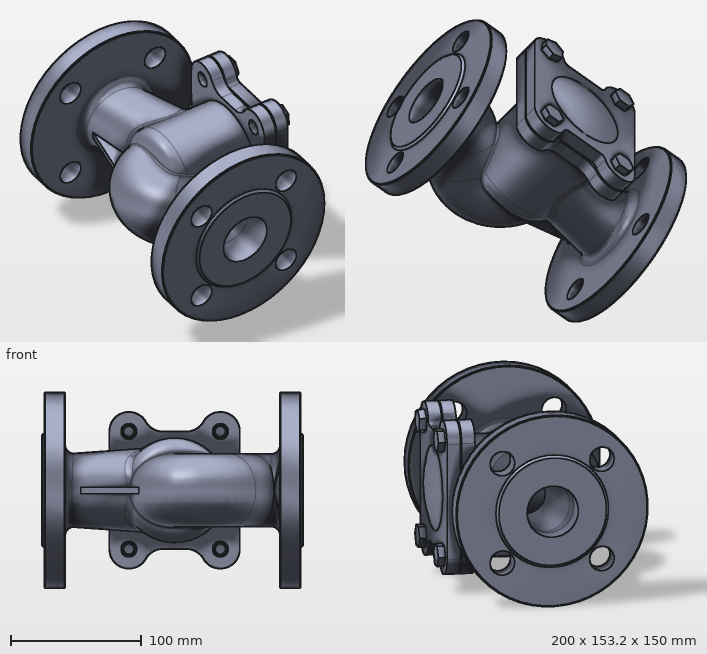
import cadquery as cq
import math

face_x = 100.0
raised_thickness = 2.0
raised_base_dia = 88.0
raised_face_dia = 84.0
flange_thickness = 16.0
flange_dia = 150.0
flange_edge = 0.8
flange_hole_dia = 19.0
flange_hole_circle = 110.0
flange_outer_x = face_x - raised_thickness
flange_inner_x = flange_outer_x - flange_thickness
neck_fillet = 6.0

bore_dia = 40.0
pipe_dia = 56.0

inclined_angle = 13.0
inclined_length = 82.0
inclined_start_dia = 54.8
inclined_end_dia = 66.8
inclined_bore_end_dia = 26.0
inclined_fillet = 7.5

u_bend_x = 22.0
u_bend_y = -4.5
u_bend_radius = 28.8
slant_angle = 47.0
return_bend_radius = 21.0
bent_fillet = 1.5
neck_stub = 7.0
neck_trim_clearance = 0.5

chamber_x = 1.5
chamber_dia = 80.0
chamber_bottom_y = -22.0
chamber_bottom_fillet = 13.0

joint_bottom_y = 50.0
joint_plate_thickness = 10.5
joint_gap = 1.0
facing_dia = 90.0
joint_top_y = joint_bottom_y + joint_plate_thickness
cover_bottom_y = joint_top_y + joint_gap
cover_top_y = cover_bottom_y + joint_plate_thickness
lobe_radius = 15.0
lobe_x = 35.0
lobe_z = 45.0
chamber_notch_radius = 15.0
cover_notch_radius = 5.0
dome_top_y = 78.2
dome_base_dia = 66.0

bolt_dia = 10.0
bolt_clearance_dia = 12.0
bolt_tip_chamfer = 1.0
bolt_tip_y = joint_bottom_y + 6.5
bolt_head_flats = 16.0
bolt_head_height = 5.5
turned_bolt_angle = 23.0

web_thickness = 5.0
web_start = (-71.0, -26.0)
web_end = (-26.0, -35.5)
web_inner = (-26.0, -10.0)


def disc_x(dia, x_from, length):
    """Cylinder on the X axis, from x_from towards +X."""
    return cq.Workplane("YZ").workplane(offset=x_from).circle(dia / 2).extrude(length)


def cylinder_y(dia, y_from, y_to, x=0.0, z=0.0):
    """Cylinder parallel to Y, from y_from up to y_to."""
    plane = cq.Plane(origin=(x, y_from, z), xDir=(1, 0, 0), normal=(0, 1, 0))
    return cq.Workplane(plane).circle(dia / 2).extrude(y_to - y_from)


def pipe_flange():
    """Flange of the -X end with a raised conical face, drilled with four bolt holes."""
    rim = flange_dia / 2
    profile = [
        (-flange_inner_x, 0),
        (-flange_inner_x, rim - flange_edge),
        (-flange_inner_x - flange_edge, rim),
        (-flange_outer_x + flange_edge, rim),
        (-flange_outer_x, rim - flange_edge),
        (-flange_outer_x, raised_base_dia / 2),
        (-face_x, raised_face_dia / 2),
        (-face_x, 0),
    ]
    flange = cq.Workplane("XY").polyline(profile).close().revolve(360, (0, 0, 0), (1, 0, 0))
    holes = (
        cq.Workplane("YZ")
        .workplane(offset=-face_x)
        .polarArray(flange_hole_circle / 2, 45, 360, 4)
        .circle(flange_hole_dia / 2)
        .extrude(raised_thickness + flange_thickness)
    )
    return flange.cut(holes)


def round_neck(branch, x):
    """Fillet the root of a pipe where it meets the inner flange face at x."""
    reach = raised_base_dia / 2
    box = cq.selectors.BoxSelector((x - 0.2, -reach, -reach), (x + 0.2, reach, reach), boundingbox=True)
    return branch.edges(box).fillet(neck_fillet)


def inclined_plane():
    """Plane at the -X flange, facing along the inclined pipe."""
    tilt = math.radians(inclined_angle)
    return cq.Plane(
        origin=(-flange_inner_x, 0, 0),
        xDir=(0, 0, 1),
        normal=(math.cos(tilt), math.sin(tilt), 0),
    )


def inclined_cone(start_dia, end_dia, lead):
    """Cone along the inclined pipe, starting the length lead before the flange face."""
    return (
        cq.Workplane(inclined_plane())
        .workplane(offset=-lead)
        .circle(start_dia / 2)
        .workplane(offset=inclined_length + lead)
        .circle(end_dia / 2)
        .loft()
    )


def inclined_pipe():
    lead = inclined_start_dia / 2 * math.tan(math.radians(inclined_angle))
    return inclined_cone(inclined_start_dia, inclined_end_dia, lead)


def inclined_bore():
    straight = disc_x(bore_dia, -face_x, face_x - flange_inner_x)
    elbow = cq.Workplane("XY").sphere(bore_dia / 2).translate((-flange_inner_x, 0, 0))
    slanted = inclined_cone(bore_dia, inclined_bore_end_dia, 0)
    return straight.union(elbow).union(slanted)


def bend(radius, tube_dia, centre, start_angle, sweep_angle):
    """Part of a torus about a Z axis; the tube is clipped where it would cross that axis."""
    tube = tube_dia / 2
    if radius < tube:
        half_chord = math.sqrt(tube**2 - radius**2)
        section = (
            cq.Workplane("XZ")
            .moveTo(0, -half_chord)
            .threePointArc((radius + tube, 0), (0, half_chord))
            .close()
        )
    else:
        section = cq.Workplane("XZ").moveTo(radius, 0).circle(tube)
    torus = section.revolve(sweep_angle, (0, 0, 0), (0, 1, 0))
    return torus.rotate((0, 0, 0), (0, 0, 1), start_angle).translate((*centre, 0))


def bent_pipe(dia, end_x):
    """Round bar along the path of the bent pipe, from inside the chamber to x = end_x."""
    slant = math.radians(slant_angle)
    slant_start_x = u_bend_x + u_bend_radius * math.sin(slant)
    slant_start_y = u_bend_y - u_bend_radius * math.cos(slant)
    return_start_y = -return_bend_radius * (1 - math.cos(slant))
    slant_length = (return_start_y - slant_start_y) / math.sin(slant)
    return_x = slant_start_x + slant_length * math.cos(slant) + return_bend_radius * math.sin(slant)

    u_bend = bend(u_bend_radius, dia, (u_bend_x, u_bend_y), 180, 90 + slant_angle)
    slant_plane = cq.Plane(
        origin=(slant_start_x, slant_start_y, 0),
        xDir=(0, 0, 1),
        normal=(math.cos(slant), math.sin(slant), 0),
    )
    slanted = cq.Workplane(slant_plane).circle(dia / 2).extrude(slant_length)
    return_bend = bend(return_bend_radius, dia, (return_x, -return_bend_radius), 90, slant_angle)
    straight = disc_x(dia, return_x, end_x - return_x)
    return u_bend.union(slanted).union(return_bend).union(straight)


def bent_flange():
    """+X flange with the short straight neck of the bent pipe."""
    flange = pipe_flange().mirror("YZ").union(disc_x(pipe_dia, flange_inner_x - neck_stub, neck_stub))
    flange = round_neck(flange, flange_inner_x)

    slant = math.radians(slant_angle)
    outside_radius = u_bend_radius + pipe_dia / 2 + neck_trim_clearance
    meet_y = u_bend_y + ((flange_inner_x - u_bend_x) * math.sin(slant) - outside_radius) / math.cos(slant)
    depth = pipe_dia / 2
    trim = [
        (flange_inner_x, meet_y),
        (flange_inner_x, meet_y - depth),
        (flange_inner_x - depth / math.tan(slant), meet_y - depth),
    ]
    return flange.cut(cq.Workplane("XY").polyline(trim).close().extrude(pipe_dia, both=True))


def chamber():
    drum = cylinder_y(chamber_dia, chamber_bottom_y, joint_bottom_y, chamber_x)
    return drum.faces("<Y").edges().fillet(chamber_bottom_fillet)


def piped_chamber():
    """Chamber with both pipes and their flanges, the pipe roots rounded."""
    radius = chamber_dia / 2
    inclined_root = cq.selectors.BoxSelector(
        (chamber_x - radius - 2, chamber_bottom_y, -radius),
        (chamber_x - radius / 2, joint_bottom_y - 2, radius),
    )
    bent_root = cq.selectors.BoxSelector(
        (u_bend_x - u_bend_radius, chamber_bottom_y, -radius),
        (chamber_x + radius, radius / 2, radius),
    )
    shell = chamber().union(inclined_pipe()).edges(inclined_root).fillet(inclined_fillet)
    shell = round_neck(shell.union(pipe_flange()), -flange_inner_x)
    shell = shell.union(bent_pipe(pipe_dia, flange_inner_x))
    shell = shell.edges("%BSPLINE").edges(bent_root).fillet(bent_fillet)
    shell = shell.union(bent_flange())
    bores = inclined_bore().union(bent_pipe(bore_dia, face_x))
    return shell.cut(bores.cut(chamber()))


def joint_plate(notch_radius, y_from):
    """Four-lobed plate; a notch between the lobes on each Z side is rounded into them."""
    run = lobe_radius + notch_radius
    notch_x = lobe_x - math.sqrt(run**2 - notch_radius**2)
    notch_z = lobe_z + notch_radius
    share = lobe_radius / run
    meet_x = lobe_x + (notch_x - lobe_x) * share
    meet_z = lobe_z + (notch_z - lobe_z) * share
    half_width = lobe_x + lobe_radius
    to_notch = math.hypot(meet_x - notch_x, meet_z - notch_z + notch_radius) / 2
    turn = math.asin(to_notch / notch_radius)
    notch_mid = (notch_x + notch_radius * math.sin(turn), notch_z - notch_radius * math.cos(turn))
    crown = (lobe_x, lobe_z + lobe_radius)
    plane = cq.Plane(origin=(chamber_x, y_from, 0), xDir=(1, 0, 0), normal=(0, 1, 0))
    quarter = (
        cq.Workplane(plane)
        .moveTo(0, 0)
        .lineTo(half_width, 0)
        .lineTo(half_width, lobe_z)
        .threePointArc(crown, (meet_x, meet_z))
        .threePointArc(notch_mid, (notch_x, lobe_z))
        .lineTo(0, lobe_z)
        .close()
        .extrude(joint_plate_thickness)
    )
    half = quarter.union(quarter.mirror("YZ", (chamber_x, 0, 0)))
    return half.union(half.mirror("XY")).clean()


def cover_dome():
    """Shallow spherical cap on the cover."""
    rise = dome_top_y - cover_top_y
    half_base = dome_base_dia / 2
    radius = (half_base**2 + rise**2) / (2 * rise)
    ball = cq.Workplane("XY").sphere(radius).translate((chamber_x, dome_top_y - radius, 0))
    return ball.intersect(cylinder_y(facing_dia, cover_top_y, dome_top_y, chamber_x))


def web():
    return (
        cq.Workplane("XY")
        .polyline([web_start, web_end, web_inner])
        .close()
        .extrude(web_thickness / 2, both=True)
    )


def bolt_places():
    return [(chamber_x + sx * lobe_x, sz * lobe_z) for sx in (-1, 1) for sz in (-1, 1)]


def valve_body():
    """Casting with both pipes, the chamber and the closed cover joint."""
    body = piped_chamber().union(web())
    body = body.union(joint_plate(chamber_notch_radius, joint_bottom_y))
    body = body.union(cylinder_y(facing_dia, joint_top_y, cover_bottom_y, chamber_x))
    body = body.union(joint_plate(cover_notch_radius, cover_bottom_y)).union(cover_dome())
    for x, z in bolt_places():
        body = body.cut(cylinder_y(bolt_clearance_dia, joint_bottom_y, joint_top_y, x, z))
        body = body.cut(cylinder_y(bolt_dia, joint_top_y, cover_top_y, x, z))
    return body


def bolt(x, z, turn):
    """Hexagon bolt pointing towards -Y, its head turned about its own axis."""
    shank = cylinder_y(bolt_dia, bolt_tip_y, cover_top_y, x, z).faces("<Y").chamfer(bolt_tip_chamfer)
    plane = cq.Plane(origin=(x, cover_top_y, z), xDir=(1, 0, 0), normal=(0, 1, 0))
    corners = bolt_head_flats / math.cos(math.radians(30))
    head = cq.Workplane(plane).polygon(6, corners).extrude(bolt_head_height)
    head = head.rotate((x, 0, z), (x, 1, z), turn)
    return shank.union(head)


body = valve_body()
bolts = []
for bolt_x, bolt_z in bolt_places():
    is_turned = bolt_x > chamber_x and bolt_z > 0
    bolts.append(bolt(bolt_x, bolt_z, turned_bolt_angle if is_turned else 0).val())

result = cq.Compound.makeCompound([body.val(), *bolts])